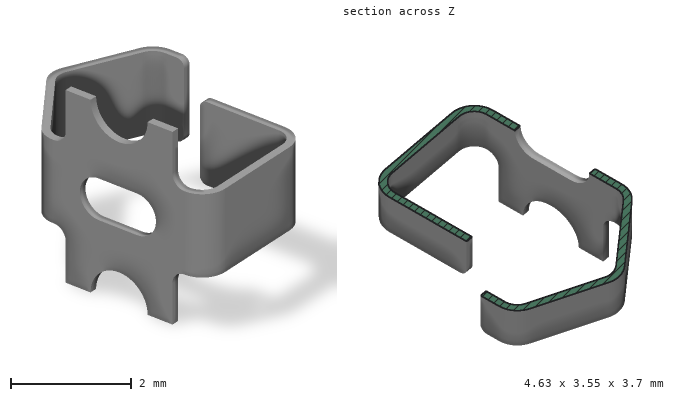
import cadquery as cq
import math


thickness = 0.15
strip_width = 1.6
bend_outer_radius = 0.48
end_corner_radius = 0.15

plate_width = 2.25
plate_height = 3.7
tab_fillet = 0.25
notch_radius = 0.6
slot_length = 1.6
slot_width = 0.8
slot_center_x = -0.025

left_x = -2.775
clip_depth = 3.55
arm_back_y = 2.7
arm_end_x = -0.29
lip_length = 0.4

lip_bend = 65
elbow_bend = 60
plate_bend = 180 - lip_bend - elbow_bend
square_bend = 90

flat_left_x = -1.4
flat_right_x = plate_width / 2 + tab_fillet
flat_length = flat_right_x - flat_left_x

plate_slope = math.radians(plate_bend)
lip_slope = math.radians(lip_bend)
lower_start_x = flat_left_x - bend_outer_radius * math.sin(plate_slope)
elbow_bulge = bend_outer_radius * (1 - math.sin(plate_slope))
lower_leg = (lower_start_x - elbow_bulge - left_x) / math.cos(plate_slope)

bends_depth = 2 * bend_outer_radius
upper_leg = (clip_depth - bends_depth - lower_leg * math.sin(plate_slope)) / math.sin(lip_slope)

wall_length = arm_back_y - 2 * bend_outer_radius
arm_length = flat_right_x - arm_end_x

elbow_end_x = left_x + bend_outer_radius * (1 - math.sin(lip_slope))
lip_root_x = elbow_end_x + upper_leg * math.cos(lip_slope) + bend_outer_radius * math.sin(lip_slope)
lip_end_x = lip_root_x + lip_length

flats_and_bends = [
    (lip_length, lip_bend),
    (upper_leg, elbow_bend),
    (lower_leg, plate_bend),
    (flat_length, square_bend),
    (wall_length, square_bend),
    (arm_length, 0),
]


def step(point, heading, distance):
    """Point reached by going a distance along a heading in degrees."""
    angle = math.radians(heading)
    return (point[0] + distance * math.cos(angle), point[1] + distance * math.sin(angle))


def strip_centerline(start):
    """Wire through the middle of the sheet thickness, from the lip end to the arm end."""
    bend_radius = bend_outer_radius - thickness / 2
    path = cq.Workplane("XY").moveTo(*start)
    point = start
    heading = 180
    for length, bend in flats_and_bends:
        point = step(point, heading, length)
        path = path.lineTo(*point)
        if bend:
            center = step(point, heading + 90, bend_radius)
            middle = step(center, heading - 90 + bend / 2, bend_radius)
            point = step(center, heading - 90 + bend, bend_radius)
            path = path.threePointArc(middle, point)
            heading += bend
    return path


def make_strip():
    """Bent strip of constant thickness with rounded corners at both free ends."""
    lip_end = (lip_end_x, clip_depth - thickness / 2)
    arm_end = (arm_end_x, arm_back_y - thickness / 2)
    strip = (
        cq.Workplane("YZ", origin=(*lip_end, 0))
        .rect(thickness, strip_width)
        .sweep(strip_centerline(lip_end))
    )
    for end in (lip_end, arm_end):
        end_face = cq.selectors.NearestToPointSelector((*end, 0))
        strip = strip.faces(end_face).edges("|Y").fillet(end_corner_radius)
    return strip


def plate_layer():
    """Plane of the plate's inner face, from which sketches extrude forward to Y = 0."""
    return cq.Workplane("XZ", origin=(0, thickness, 0))


def make_plate():
    """Flat plate with concave fillets where its tabs leave the strip and a notch in each tab."""
    fillet_centers = [
        (side * (plate_width / 2 + tab_fillet), end * (strip_width / 2 + tab_fillet))
        for side in (-1, 1)
        for end in (-1, 1)
    ]
    fillet_blank = plate_layer().rect(plate_width + 2 * tab_fillet, strip_width + 2 * tab_fillet)
    fillet_round = plate_layer().pushPoints(fillet_centers).circle(tab_fillet)
    tabs = plate_layer().rect(plate_width, plate_height).extrude(thickness)
    notch_centers = [(0, -plate_height / 2), (0, plate_height / 2)]
    notches = plate_layer().pushPoints(notch_centers).circle(notch_radius).extrude(thickness)
    filleted = fillet_blank.extrude(thickness).cut(fillet_round.extrude(thickness))
    return filleted.union(tabs).cut(notches)


def make_slot():
    """Round-ended slot through the plate."""
    return plate_layer().center(slot_center_x, 0).slot2D(slot_length, slot_width).extrude(thickness)


result = make_strip().union(make_plate()).cut(make_slot())